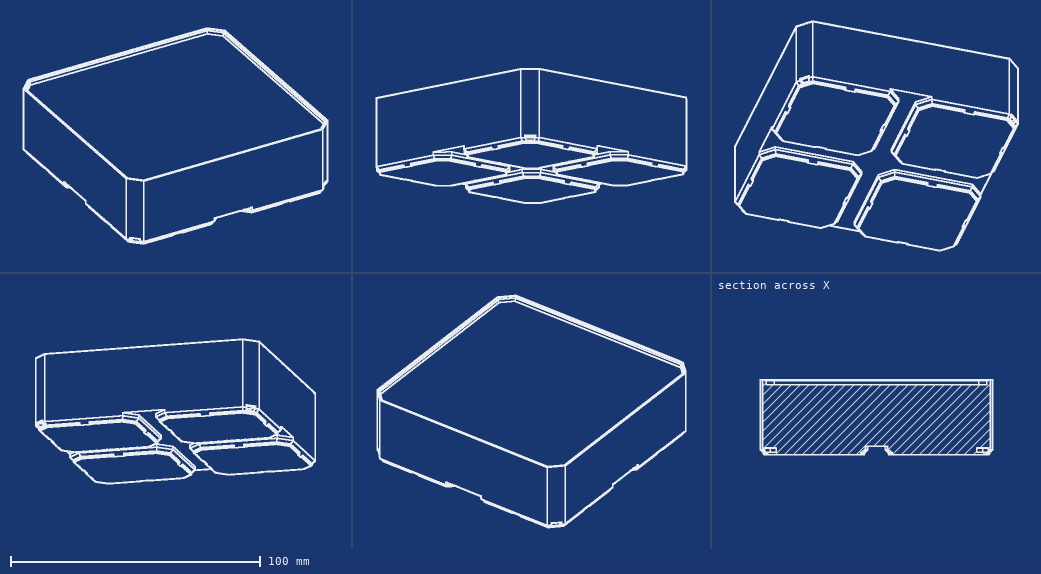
import cadquery as cq

side = 93.0
height = 30.1
corner_cut = 5.2

foot_height = 3.35
foot_gap = 7.1
upper_bevel = 1.2
band_height = 0.5
lower_bevel = 0.4

rim_width = 0.51
lip_slope = 0.51
recess_depth = 2.0

notch_width = 4.1

slot_width = 3.5
slot_top = 2.7
slot_bottom = 1.1
slot_depth = 3.7
mouth_flare = 0.4

foot_side = (side - foot_gap) / 2
foot_offset = (foot_side + foot_gap) / 2


def inset_octagon(width, inset, z):
    """Corner-cut square centred on the Z axis at height z, every side moved in by the same inset."""
    half = width / 2 - inset
    cut = corner_cut - inset * (2 - 2 ** 0.5)
    short = half - cut
    points = [
        (short, half), (half, short), (half, -short), (short, -half),
        (-short, -half), (-half, -short), (-half, short), (-short, half),
    ]
    return cq.Wire.makePolygon([cq.Vector(x, y, z) for x, y in points], close=True)


def loft(first, second):
    """Solid with flat faces between two matching outlines."""
    return cq.Workplane(obj=cq.Solid.makeLoft([first, second], True))


def prism(width, inset, bottom, top):
    """Upright block with one octagon outline all the way up."""
    return loft(inset_octagon(width, inset, bottom), inset_octagon(width, inset, top))


def make_foot():
    """One foot, standing on Z = 0 and centred on the Z axis."""
    waist_inset = upper_bevel
    sole_inset = upper_bevel + lower_bevel
    band_top = lower_bevel + band_height
    shoulder = band_top + upper_bevel
    sole = loft(inset_octagon(foot_side, sole_inset, 0), inset_octagon(foot_side, waist_inset, lower_bevel))
    band = prism(foot_side, waist_inset, lower_bevel, band_top)
    bevel = loft(inset_octagon(foot_side, waist_inset, band_top), inset_octagon(foot_side, 0, shoulder))
    foot = sole.union(band).union(bevel).union(prism(foot_side, 0, shoulder, foot_height))
    return foot.cut(make_notches(shoulder))


def make_notches(shoulder):
    """Four wedges under the 45 degree plane that starts at the shoulder of the foot."""
    edge = foot_side / 2
    wedge = (
        cq.Workplane("XZ")
        .polyline([(edge, 0), (edge, shoulder), (edge - shoulder, 0)])
        .close()
        .extrude(notch_width / 2, both=True)
    )
    notches = wedge
    for angle in (90, 180, 270):
        notches = notches.union(wedge.rotate((0, 0, 0), (0, 0, 1), angle))
    return notches


def make_recess():
    """Shallow recess in the top, with a bevelled edge inside the flat rim."""
    slope_bottom = height - lip_slope
    floor_inset = rim_width + lip_slope
    slope = loft(inset_octagon(side, floor_inset, slope_bottom), inset_octagon(side, rim_width, height))
    return slope.union(prism(side, floor_inset, height - recess_depth, slope_bottom))


def slot_section(distance, growth):
    """Upright rectangle at a distance along X, with its sides and roof moved out by the growth."""
    half = slot_width / 2 + growth
    top = slot_top + growth
    corners = [(-half, slot_bottom), (half, slot_bottom), (half, top), (-half, top)]
    return cq.Wire.makePolygon([cq.Vector(distance, y, z) for y, z in corners], close=True)


def make_slot():
    """Slot running inward from a 45 degree corner face that lies square to the X axis."""
    face = (side - corner_cut) / 2 ** 0.5
    throat = face - mouth_flare
    bore = loft(slot_section(face - slot_depth, 0), slot_section(throat, 0))
    mouth = loft(slot_section(throat, 0), slot_section(face, mouth_flare))
    return bore.union(mouth)


result = prism(side, 0, foot_height, height).cut(make_recess())

foot = make_foot()
for x in (-foot_offset, foot_offset):
    for y in (-foot_offset, foot_offset):
        result = result.union(foot.translate((x, y, 0)))

slot = make_slot()
for angle in (45, 135, 225, 315):
    result = result.cut(slot.rotate((0, 0, 0), (0, 0, 1), angle))